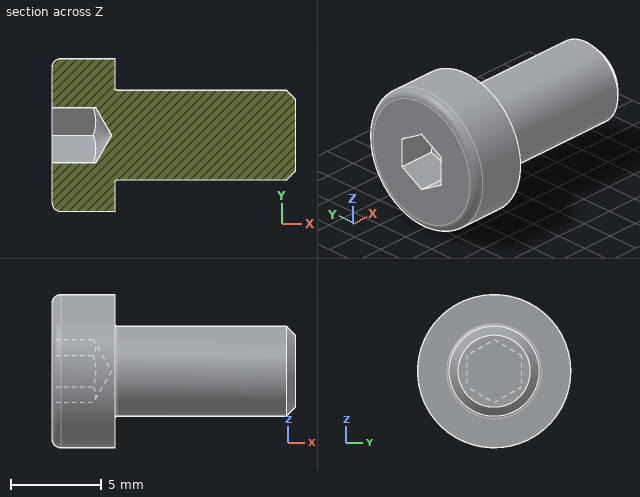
import cadquery as cq
import math

total_length = 13.5
head_diameter = 8.5
head_height = 3.5
head_edge_radius = 0.5
shank_diameter = 5.0
tip_chamfer = 0.5
neck_fillet_radius = 0.12

socket_across_flats = 3.02
socket_depth = 2.3
socket_cone_angle = 120.0

socket_across_corners = socket_across_flats / math.cos(math.pi / 6)
socket_corner_radius = socket_across_corners / 2
socket_cone_depth = socket_corner_radius / math.tan(math.radians(socket_cone_angle / 2))
socket_tip_depth = socket_depth + socket_cone_depth


def make_head():
    """Cylindrical head with a rounded outer rim."""
    head = cq.Workplane("YZ").circle(head_diameter / 2).extrude(head_height)
    return head.faces("<X").edges().fillet(head_edge_radius)


def make_shank():
    """Plain shank with a chamfered tip."""
    shank = (
        cq.Workplane("YZ", origin=(head_height, 0, 0))
        .circle(shank_diameter / 2)
        .extrude(total_length - head_height)
    )
    return shank.faces(">X").edges().chamfer(tip_chamfer)


def make_neck_fillet():
    """Concave ring that blends the shank into the underside of the head."""
    shank_radius = shank_diameter / 2
    outer_radius = shank_radius + neck_fillet_radius
    fillet_end = head_height + neck_fillet_radius
    arc_offset = neck_fillet_radius * (1 - math.sqrt(0.5))
    return (
        cq.Workplane("XY")
        .moveTo(head_height, 0)
        .lineTo(head_height, outer_radius)
        .threePointArc(
            (head_height + arc_offset, shank_radius + arc_offset),
            (fillet_end, shank_radius),
        )
        .lineTo(fillet_end, 0)
        .close()
        .revolve(360, (0, 0, 0), (1, 0, 0))
    )


def make_socket():
    """Hexagonal socket, corners toward +Z and -Z, with a conical floor."""
    hexagon = (
        cq.Workplane("YZ")
        .transformed(rotate=(0, 0, 90))
        .polygon(6, socket_across_corners)
        .extrude(socket_tip_depth)
    )
    pointed_cylinder = (
        cq.Workplane("XY")
        .polyline([
            (0, 0),
            (0, socket_corner_radius),
            (socket_depth, socket_corner_radius),
            (socket_tip_depth, 0),
        ])
        .close()
        .revolve(360, (0, 0, 0), (1, 0, 0))
    )
    return hexagon.intersect(pointed_cylinder)


result = make_head().union(make_shank()).union(make_neck_fillet()).cut(make_socket())